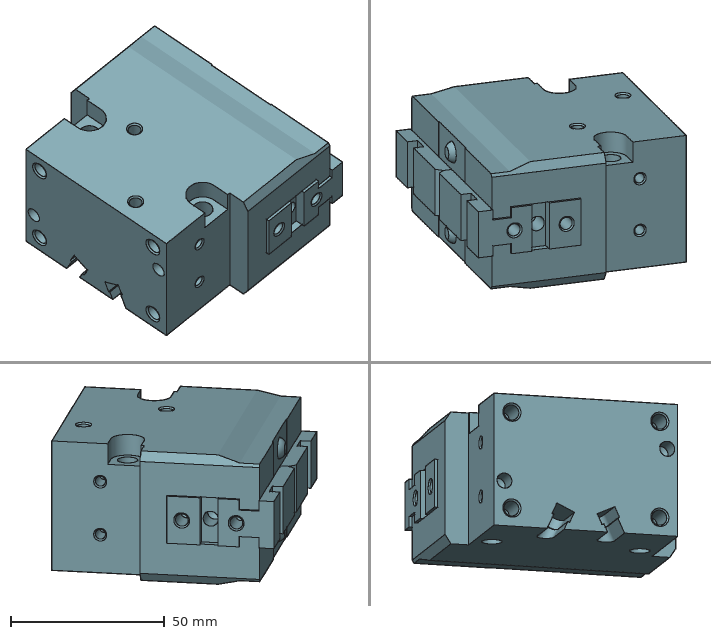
import cadquery as cq
import math


HEIGHT = 44.0
HALF_HEIGHT = HEIGHT / 2
BASE_WIDTH = 62.0
BASE_LENGTH = 30.5
HEAD_WIDTH = 78.0
HEAD_END = 70.0
CORNER_CUT_X = 2.0
CORNER_CUT_Z = 3.0
TAPER_START = 56.0
TAPER_END = 63.5
TAPER_DROP = 2.0

JAW_REACH = 40.0
JAW_REAR = 75.0
JAW_FRONT = 39.5
JAW_HEIGHT = 16.0
NECK_HEIGHT = 9.0
END_SLOT_FRONT = 50.5
END_SLOT_REAR = 56.5
END_SLOT_DEPTH = 3.5
KEY_SLOT_X = 26.0
KEY_SLOT_WIDTH = 6.0
KEY_SLOT_DEPTH = 3.5
NOTCH_DEPTH = 2.0
JAW_HOLE_PITCH = 9.0
JAW_HOLE_MIDDLE_Y = (END_SLOT_FRONT + END_SLOT_REAR) / 2

DRILL_POINT_ANGLE = 118.0
M4_DRILL, M4_MOUTH = 3.3, 4.3
M5_DRILL, M5_MOUTH = 4.2, 5.2
M6_DRILL, M6_MOUTH = 5.0, 6.1
DOWEL_DIAMETER = 5.0
M4_DEPTH = 8.0
M5_DEPTH = 10.0
M6_DEPTH = 12.0
DOWEL_DEPTH = 8.0

FRONT_THREAD_X, FRONT_THREAD_Z = 25.0, 16.0
FRONT_DOWEL_X, FRONT_DOWEL_Z = 27.5, 7.0
SIDE_THREAD_Y, SIDE_THREAD_Z = 16.0, 9.0
AIR_PORTS = [(-11.0, 30.5), (11.0, 7.0)]
AIR_PORT_DEPTH = 8.0
AIR_CHANNEL_DIAMETER = 2.0
AIR_CHANNEL_DEPTH = 12.0

MOUNT_X, MOUNT_Y = 25.0, 24.0
MOUNT_HOLE_DIAMETER = 6.6
MOUNT_POCKET_WIDTH = 11.0
MOUNT_POCKET_DEPTH = 7.0

SENSOR_SLOT_X = 10.2
SENSOR_SLOT_TILT = 25.0
SENSOR_SLOT_AXIS_Y = 12.0
SENSOR_SLOT_WIDTH = 5.2
SENSOR_SEAT_WIDTH = 6.5
SENSOR_SEAT_START = 4.2
SENSOR_SEAT_END = 8.0

RECESS_WIDTH = 26.0
RECESS_DEPTH = 0.3
BUTTON_Z = 14.0
BUTTON_BASE_DIAMETER = 7.2
BUTTON_HEIGHT = 2.0
BUTTON_SPHERE_OFFSET = 1.3


def block(x_range, y_range, z_range):
    """Box given by its limits along each axis."""
    lows, highs = zip(x_range, y_range, z_range)
    sizes = [high - low for low, high in zip(lows, highs)]
    return cq.Workplane("XY").box(*sizes, centered=False).translate(lows)


def revolved(profile, mouth, direction):
    """Solid turned from (radius, depth) points, starting at mouth and running along direction."""
    plane = cq.Plane(origin=mouth, normal=direction)
    outline = cq.Workplane("XZ").polyline([(0, 0), *profile]).close()
    turned = outline.revolve(360, (0, 0, 0), (0, 1, 0))
    return cq.Workplane(obj=turned.val().moved(cq.Location(plane)))


def blind_hole(mouth, direction, diameter, depth, mouth_diameter):
    """Drilled hole with a 45 degree mouth chamfer and a conical drill point."""
    radius = diameter / 2
    mouth_radius = mouth_diameter / 2
    point = radius / math.tan(math.radians(DRILL_POINT_ANGLE / 2))
    profile = [(mouth_radius, 0)]
    if mouth_radius > radius:
        profile.append((radius, mouth_radius - radius))
    profile += [(radius, depth), (0, depth + point)]
    return revolved(profile, mouth, direction)


def housing_blank():
    base = block((-BASE_WIDTH / 2, BASE_WIDTH / 2), (0, BASE_LENGTH), (-HALF_HEIGHT, HALF_HEIGHT))
    half_width = HEAD_WIDTH / 2
    corner_x = half_width - CORNER_CUT_X
    corner_z = HALF_HEIGHT - CORNER_CUT_Z
    section = [
        (-half_width, -corner_z),
        (-corner_x, -HALF_HEIGHT),
        (corner_x, -HALF_HEIGHT),
        (half_width, -corner_z),
        (half_width, corner_z),
        (corner_x, HALF_HEIGHT),
        (-corner_x, HALF_HEIGHT),
        (-half_width, corner_z),
    ]
    head = cq.Workplane("XZ", origin=(0, HEAD_END, 0)).polyline(section).close()
    head = head.extrude(HEAD_END - BASE_LENGTH)
    side_profile = [
        (0, -HALF_HEIGHT),
        (TAPER_START, -HALF_HEIGHT),
        (TAPER_END, -HALF_HEIGHT + TAPER_DROP),
        (HEAD_END, -HALF_HEIGHT + TAPER_DROP),
        (HEAD_END, HALF_HEIGHT - TAPER_DROP),
        (TAPER_END, HALF_HEIGHT - TAPER_DROP),
        (TAPER_START, HALF_HEIGHT),
        (0, HALF_HEIGHT),
    ]
    envelope = cq.Workplane("YZ").polyline(side_profile).close().extrude(half_width, both=True)
    return base.union(head.intersect(envelope))


def jaw_channel():
    """T-shaped channel across the housing, narrowed between the cover lips."""
    across = (-JAW_REACH, JAW_REACH)
    wide = block(across, (JAW_FRONT, TAPER_END), (-JAW_HEIGHT / 2, JAW_HEIGHT / 2))
    neck = block(across, (TAPER_END, HEAD_END), (-NECK_HEIGHT / 2, NECK_HEIGHT / 2))
    return wide.union(neck)


def mount_cut(side):
    """Through hole under a round-ended pocket that runs out through the base side."""
    floor = HALF_HEIGHT - MOUNT_POCKET_DEPTH
    centre = (side * MOUNT_X, MOUNT_Y)
    pocket = (
        cq.Workplane("XY", origin=(0, 0, floor)).center(*centre)
        .circle(MOUNT_POCKET_WIDTH / 2).extrude(MOUNT_POCKET_DEPTH)
    )
    run_out = block(
        sorted((side * MOUNT_X, side * BASE_WIDTH / 2)),
        (MOUNT_Y - MOUNT_POCKET_WIDTH / 2, MOUNT_Y + MOUNT_POCKET_WIDTH / 2),
        (floor, HALF_HEIGHT),
    )
    hole = (
        cq.Workplane("XY", origin=(0, 0, -HALF_HEIGHT)).center(*centre)
        .circle(MOUNT_HOLE_DIAMETER / 2).extrude(HEIGHT)
    )
    return pocket.union(run_out).union(hole)


def sensor_step(width, start, end):
    """Upright slot from the front face to a round inner end, between two heights."""
    straight = cq.Workplane("XY").box(width, SENSOR_SLOT_AXIS_Y, end - start, centered=(True, False, False))
    rounded = cq.Workplane("XY").center(0, SENSOR_SLOT_AXIS_Y).circle(width / 2).extrude(end - start)
    return straight.union(rounded).translate((0, 0, start))


def sensor_slot(side):
    """Stepped slot leaning towards the middle, open at the bottom and the front."""
    overrun = SENSOR_SLOT_WIDTH
    entry = sensor_step(SENSOR_SLOT_WIDTH, -overrun, SENSOR_SEAT_START)
    seat = sensor_step(SENSOR_SEAT_WIDTH, SENSOR_SEAT_START, SENSOR_SEAT_END)
    slot = entry.union(seat).rotate((0, 0, 0), (0, 1, 0), -side * SENSOR_SLOT_TILT)
    return slot.translate((side * SENSOR_SLOT_X, 0, -HALF_HEIGHT))


def air_port(x, y):
    """Flat-bottomed threaded port with a narrow channel going on below it."""
    radius = M5_DRILL / 2
    mouth_radius = M5_MOUTH / 2
    channel_radius = AIR_CHANNEL_DIAMETER / 2
    profile = [
        (mouth_radius, 0),
        (radius, mouth_radius - radius),
        (radius, AIR_PORT_DEPTH),
        (channel_radius, AIR_PORT_DEPTH),
        (channel_radius, AIR_CHANNEL_DEPTH),
        (0, AIR_CHANNEL_DEPTH),
    ]
    return revolved(profile, (x, y, HALF_HEIGHT), (0, 0, -1))


def rear_recess(side):
    """Shallow recess over the full height of one cover lip."""
    return block(
        (-RECESS_WIDTH / 2, RECESS_WIDTH / 2),
        (HEAD_END - RECESS_DEPTH, HEAD_END),
        sorted((side * NECK_HEIGHT / 2, side * HALF_HEIGHT)),
    )


def button(side):
    """Flat-topped button with a spherical side, standing in the rear recess."""
    base_y = HEAD_END - RECESS_DEPTH
    sphere_radius = math.hypot(BUTTON_BASE_DIAMETER / 2, BUTTON_SPHERE_OFFSET)
    blank = (
        cq.Workplane("XZ", origin=(0, base_y, side * BUTTON_Z))
        .circle(BUTTON_BASE_DIAMETER / 2).extrude(-BUTTON_HEIGHT)
    )
    sphere = cq.Workplane("XY").sphere(sphere_radius)
    return blank.intersect(sphere.translate((0, base_y - BUTTON_SPHERE_OFFSET, side * BUTTON_Z)))


def build_housing():
    body = housing_blank().cut(jaw_channel())
    for side in (-1, 1):
        body = body.cut(mount_cut(side)).cut(sensor_slot(side))
        body = body.cut(rear_recess(side)).union(button(side))
        dowel_mouth = (side * FRONT_DOWEL_X, 0, side * FRONT_DOWEL_Z)
        body = body.cut(blind_hole(dowel_mouth, (0, 1, 0), DOWEL_DIAMETER, DOWEL_DEPTH, DOWEL_DIAMETER))
        for level in (-1, 1):
            front_mouth = (side * FRONT_THREAD_X, 0, level * FRONT_THREAD_Z)
            side_mouth = (side * BASE_WIDTH / 2, SIDE_THREAD_Y, level * SIDE_THREAD_Z)
            body = body.cut(blind_hole(front_mouth, (0, 1, 0), M6_DRILL, M6_DEPTH, M6_MOUTH))
            body = body.cut(blind_hole(side_mouth, (-side, 0, 0), M4_DRILL, M4_DEPTH, M4_MOUTH))
    for x, y in AIR_PORTS:
        body = body.cut(air_port(x, y))
    return body


def build_jaw(side):
    """T-section jaw reaching from the middle plane to one side of the housing."""
    reach = sorted((0, side * JAW_REACH))
    tall = (-JAW_HEIGHT / 2, JAW_HEIGHT / 2)
    jaw = block(reach, (JAW_FRONT, TAPER_END), tall)
    jaw = jaw.union(block(reach, (TAPER_END, HEAD_END), (-NECK_HEIGHT / 2, NECK_HEIGHT / 2)))
    jaw = jaw.union(block(reach, (HEAD_END, JAW_REAR), tall))

    slot_floor = side * (JAW_REACH - END_SLOT_DEPTH)
    end_slot_x = sorted((slot_floor, side * JAW_REACH))
    jaw = jaw.cut(block(end_slot_x, (END_SLOT_FRONT, END_SLOT_REAR), tall))

    key_slot_x = (side * KEY_SLOT_X - KEY_SLOT_WIDTH / 2, side * KEY_SLOT_X + KEY_SLOT_WIDTH / 2)
    jaw = jaw.cut(block(key_slot_x, (JAW_REAR - KEY_SLOT_DEPTH, JAW_REAR), tall))

    notch = [(-NOTCH_DEPTH, JAW_REAR), (0, JAW_REAR - NOTCH_DEPTH), (NOTCH_DEPTH, JAW_REAR)]
    jaw = jaw.cut(cq.Workplane("XY").polyline(notch).close().extrude(JAW_HEIGHT, both=True))

    inward = (-side, 0, 0)
    dowel_mouth = (slot_floor, JAW_HOLE_MIDDLE_Y, 0)
    jaw = jaw.cut(blind_hole(dowel_mouth, inward, DOWEL_DIAMETER, DOWEL_DEPTH, DOWEL_DIAMETER))
    for step in (-1, 1):
        mouth = (side * JAW_REACH, JAW_HOLE_MIDDLE_Y + step * JAW_HOLE_PITCH, 0)
        jaw = jaw.cut(blind_hole(mouth, inward, M5_DRILL, M5_DEPTH, M5_MOUTH))
    return jaw


housing = build_housing()
jaws = [build_jaw(side) for side in (-1, 1)]
result = cq.Compound.makeCompound([housing.val(), *[jaw.val() for jaw in jaws]])